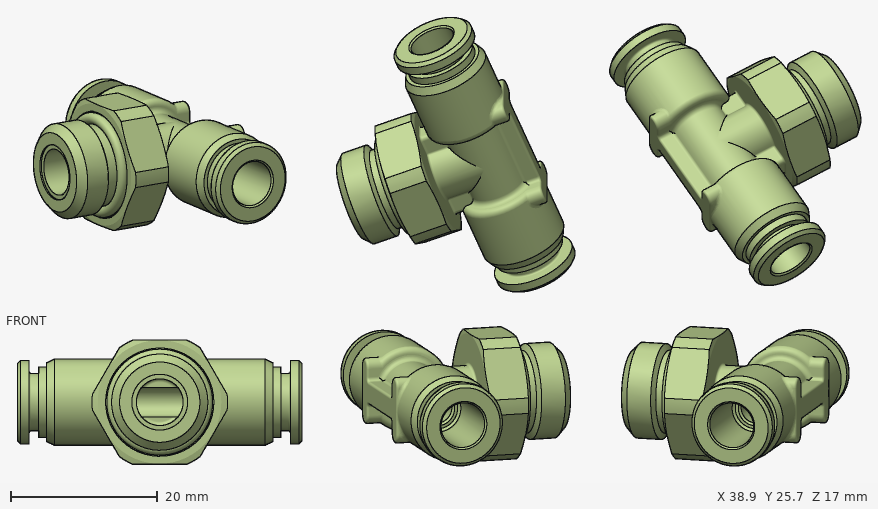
import cadquery as cq
import math


half_length = 19.45
waist_radius = 4.1
barrel_radius = 5.9
barrel_start = 5.65
waist_fillet = 0.78
shoulder_fillet = 0.9
barrel_taper_start = 14.35
barrel_end = 15.5
barrel_end_radius = 5.35
rim_radius = 4.82
rim_end = 16.55

sleeve_radius = 3.93
sleeve_fillet = 0.27
flange_start = 17.8
flange_radius = 5.7
flange_chamfer = 0.45

run_bore_radius = 2.02
tube_bore_radius = 3.1
tube_lead_in = 0.25
tube_stop = 7.78
seat_edge_radius = 2.75
seat_chamfer = 0.3

back_face = 6.03
lug_half_height = 4.55
lug_radius = 1.3
lug_x = barrel_start + lug_radius
web_half_thickness = 1.55
back_round = 0.35
web_root_fillet = 0.5
lug_web_fillet = 0.55
lug_root_fillet = 0.55

rib_half_width = 6.5
rib_half_thickness = 1.67
rib_round = 0.6
root_fillet = 0.35

overall_depth = 25.65
hex_top = -6.9
hex_bottom = -12.65
hex_across_flats = 17.0
hex_corner_radius = 9.25
hex_face_radius = 8.45
hex_chamfer_angle = 15.0
hex_turn = 30.0
undercut_radius = 5.68
undercut_end = -14.65
thread_start = -15.15
thread_radius = 6.57
stud_end = back_face - overall_depth
thread_chamfer = 1.1
stud_bore_radius = 3.2
stud_bore_fillet = 0.5
mouth_radius = 3.8
mouth_depth = 0.25

seal_section_radius = 0.78
seal_bottom = -13.55
seal_recess_radius = 7.4
seal_y = seal_bottom + seal_section_radius
seal_centre_radius = undercut_radius + seal_section_radius
seal_recess_floor = seal_y + seal_section_radius

pick_margin = 0.05


def branch_cylinder(radius, y_from, y_to):
    """Cylinder around the branch axis, from y_from towards -Y to y_to."""
    return cq.Workplane("XZ", origin=(0, y_from, 0)).circle(radius).extrude(y_from - y_to)


def both_ends(half):
    """A shape of the +X side together with its mirror image."""
    return half.union(half.mirror("YZ"))


def run_body():
    """Solid of revolution along X: waist, barrels and release sleeves."""
    half = (
        cq.Workplane("XY")
        .moveTo(0, 0)
        .lineTo(0, waist_radius)
        .lineTo(barrel_start - waist_fillet, waist_radius)
        .radiusArc((barrel_start, waist_radius + waist_fillet), -waist_fillet)
        .lineTo(barrel_start, barrel_radius - shoulder_fillet)
        .radiusArc((barrel_start + shoulder_fillet, barrel_radius), shoulder_fillet)
        .lineTo(barrel_taper_start, barrel_radius)
        .lineTo(barrel_end, barrel_end_radius)
        .lineTo(barrel_end, rim_radius)
        .lineTo(rim_end, rim_radius)
        .lineTo(rim_end, sleeve_radius)
        .lineTo(flange_start - sleeve_fillet, sleeve_radius)
        .radiusArc((flange_start, sleeve_radius + sleeve_fillet), -sleeve_fillet)
        .lineTo(flange_start, flange_radius)
        .lineTo(half_length - flange_chamfer, flange_radius)
        .lineTo(half_length, flange_radius - flange_chamfer)
        .lineTo(half_length, 0)
        .close()
        .revolve(360, (0, 0, 0), (1, 0, 0))
    )
    return both_ends(half)


def lugs():
    """Two upright obround lugs joined by a thin web, rounded at the back."""
    slot_length = 2 * lug_half_height
    lug_pair = (
        cq.Workplane("XZ", origin=(0, back_face, 0))
        .pushPoints([(-lug_x, 0), (lug_x, 0)])
        .slot2D(slot_length, 2 * lug_radius, 90)
        .extrude(back_face)
    )
    web = (
        cq.Workplane("XZ", origin=(0, back_face, 0))
        .rect(2 * lug_x, 2 * web_half_thickness)
        .extrude(back_face)
    )
    block = lug_pair.union(web)
    inner_corners = cq.selectors.BoxSelector(
        (-barrel_start - pick_margin, 0, -web_half_thickness - pick_margin),
        (barrel_start + pick_margin, back_face, web_half_thickness + pick_margin),
    )
    block = block.edges("|Y").edges(inner_corners).fillet(lug_web_fillet)
    return block.faces(">Y").edges().fillet(back_round)


def lugs_on_run():
    """The run with its lugs, blended where the lugs rise from the barrels."""
    body = run_body().union(lugs())
    lug_corner = lug_half_height - lug_radius
    roots = body.edges("%BSPLINE").filter(lambda edge: abs(edge.Center().z) > lug_corner)
    return roots.fillet(lug_root_fillet)


def waist_root(half_thickness, radius, direction):
    """Concave strips where a flat web of the given thickness leaves the waist."""
    centre_z = half_thickness + radius
    centre_y = math.sqrt((waist_radius + radius) ** 2 - centre_z**2)
    on_waist = waist_radius / (waist_radius + radius)
    strip = (
        cq.Workplane("YZ", origin=(-barrel_start, 0, 0))
        .moveTo(0, 0)
        .lineTo(direction * centre_y, 0)
        .lineTo(direction * centre_y, half_thickness)
        .radiusArc((direction * centre_y * on_waist, centre_z * on_waist), direction * radius)
        .close()
        .extrude(2 * barrel_start)
    )
    return strip.union(strip.mirror("XY"))


def hexagon():
    """Hexagon with its corners turned down and both end faces bevelled."""
    bevel = (hex_corner_radius - hex_face_radius) * math.tan(math.radians(hex_chamfer_angle))
    prism = (
        cq.Workplane("XZ", origin=(0, hex_top, 0))
        .polygon(6, hex_across_flats, circumscribed=True)
        .extrude(hex_top - hex_bottom)
        .rotate((0, 0, 0), (0, 1, 0), hex_turn)
    )
    turned = (
        cq.Workplane("XY")
        .moveTo(0, hex_top)
        .lineTo(hex_face_radius, hex_top)
        .lineTo(hex_corner_radius, hex_top - bevel)
        .lineTo(hex_corner_radius, hex_bottom + bevel)
        .lineTo(hex_face_radius, hex_bottom)
        .lineTo(0, hex_bottom)
        .close()
        .revolve(360, (0, 0, 0), (0, 1, 0))
    )
    return prism.intersect(turned)


def neck():
    """Branch neck and its two ribs, blended into the hexagon."""
    ribs = (
        cq.Workplane("XZ")
        .rect(2 * rib_half_width, 2 * rib_half_thickness)
        .extrude(-hex_top)
        .edges("|Y")
        .fillet(rib_round)
    )
    neck_edge = math.sqrt(waist_radius**2 - rib_half_thickness**2) + pick_margin
    neck_corners = cq.selectors.BoxSelector(
        (-neck_edge, hex_top, -rib_half_thickness - pick_margin),
        (neck_edge, 0, rib_half_thickness + pick_margin),
    )
    body = branch_cylinder(waist_radius, 0, hex_top).union(ribs)
    body = body.edges("|Y").edges(neck_corners).fillet(root_fillet)
    body = body.union(hexagon())
    base = cq.selectors.BoxSelector(
        (-rib_half_width - pick_margin, hex_top - pick_margin, -waist_radius - pick_margin),
        (rib_half_width + pick_margin, hex_top + pick_margin, waist_radius + pick_margin),
    )
    return body.edges(base).fillet(root_fillet)


def stud():
    """Threaded stud below the hexagon, with its thread undercut."""
    return (
        cq.Workplane("XY")
        .moveTo(0, hex_bottom + mouth_depth)
        .lineTo(undercut_radius, hex_bottom + mouth_depth)
        .lineTo(undercut_radius, undercut_end)
        .lineTo(thread_radius, thread_start)
        .lineTo(thread_radius, stud_end + thread_chamfer)
        .lineTo(thread_radius - thread_chamfer, stud_end)
        .lineTo(0, stud_end)
        .close()
        .revolve(360, (0, 0, 0), (0, 1, 0))
    )


def run_bore():
    """Through passage of the run with a stepped tube socket at both ends."""
    half = (
        cq.Workplane("XY")
        .moveTo(0, 0)
        .lineTo(0, run_bore_radius)
        .lineTo(tube_stop - seat_chamfer, run_bore_radius)
        .lineTo(tube_stop, run_bore_radius + seat_chamfer)
        .lineTo(tube_stop, seat_edge_radius)
        .lineTo(tube_stop + tube_bore_radius - seat_edge_radius, tube_bore_radius)
        .lineTo(half_length - tube_lead_in, tube_bore_radius)
        .lineTo(half_length, tube_bore_radius + tube_lead_in)
        .lineTo(half_length, 0)
        .close()
        .revolve(360, (0, 0, 0), (1, 0, 0))
    )
    return both_ends(half)


def stud_bore():
    """Bore of the branch, from a shallow counterbore to a rounded floor on the run axis."""
    bore = branch_cylinder(stud_bore_radius, 0, stud_end).faces(">Y").edges().fillet(stud_bore_fillet)
    mouth = branch_cylinder(mouth_radius, stud_end + mouth_depth, stud_end)
    return bore.union(mouth)


def seal_recess():
    """Ring-shaped recess in the lower face of the hexagon."""
    outer = branch_cylinder(seal_recess_radius, seal_recess_floor, hex_bottom)
    return outer.cut(branch_cylinder(undercut_radius, seal_recess_floor, hex_bottom))


def fitting_body():
    """Tee with lugs, ribs, hexagon and threaded stud as one solid."""
    body = lugs_on_run().union(waist_root(web_half_thickness, web_root_fillet, 1))
    body = body.union(neck()).union(waist_root(rib_half_thickness, root_fillet, -1)).union(stud())
    return body.cut(run_bore()).cut(stud_bore()).cut(seal_recess())


def seal_ring():
    """O-ring seated in the recess, around the undercut of the stud."""
    return cq.Workplane("XY").add(
        cq.Solid.makeTorus(
            seal_centre_radius, seal_section_radius, cq.Vector(0, seal_y, 0), cq.Vector(0, 1, 0)
        )
    )


fitting = fitting_body()
seal = seal_ring()
result = cq.Compound.makeCompound([fitting.val(), seal.val()])